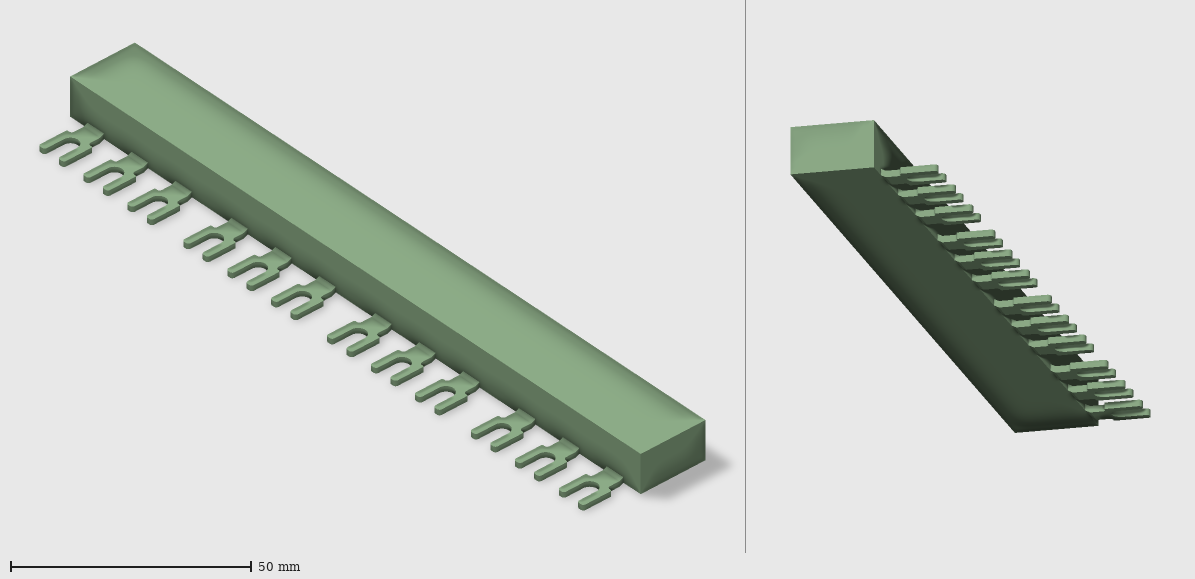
import cadquery as cq

body_length = 178.6
body_depth = 18.0
body_height = 10.4

group_count = 4
forks_per_group = 3
group_pitch = 45.0
fork_pitch = 13.8
fork_reach = 12.5
fork_thickness = 1.5
fork_drop = 0.5
bend_length = 1.0
neck_width = 5.2
neck_length = 4.5
fork_width = 8.0
slot_width = 4.1
slot_top_offset = 5.0
tip_radius = 0.7
neck_fillet = 0.7
shoulder_radius = 0.4

row_length = (group_count - 1) * group_pitch + (forks_per_group - 1) * fork_pitch
first_fork_x = (body_length - row_length) / 2


def make_body():
    return cq.Workplane("XY").box(body_length, body_depth, body_height, centered=False)


def make_sheet():
    """Bent strip profile, as wide as the fork, with its mid-plane at X = 0."""
    return (
        cq.Workplane("YZ")
        .moveTo(0, 0)
        .lineTo(-bend_length, -fork_drop)
        .lineTo(-fork_reach, -fork_drop)
        .lineTo(-fork_reach, fork_thickness - fork_drop)
        .lineTo(-bend_length, fork_thickness - fork_drop)
        .lineTo(0, fork_thickness)
        .close()
        .extrude(fork_width / 2, both=True)
    )


def make_fork():
    """Bent strip trimmed to the neck, tines and open slot."""
    cut_height = 2 * (fork_thickness + fork_drop)
    tine_length = fork_reach - neck_length
    neck = cq.Workplane("XY").box(neck_width, 2 * neck_length, cut_height)
    tines = (
        cq.Workplane("XY")
        .box(fork_width, tine_length, cut_height)
        .translate((0, -neck_length - tine_length / 2, 0))
    )
    slot_radius = slot_width / 2
    slot_center_y = -slot_top_offset - slot_radius
    slot = (
        cq.Workplane("XY")
        .moveTo(-slot_radius, -fork_reach)
        .lineTo(-slot_radius, slot_center_y)
        .threePointArc((0, -slot_top_offset), (slot_radius, slot_center_y))
        .lineTo(slot_radius, -fork_reach)
        .close()
        .extrude(cut_height / 2, both=True)
    )
    tines = (
        tines.cut(slot)
        .faces("<Y").edges("|Z").fillet(tip_radius)
        .edges("|Z and >Y").fillet(shoulder_radius)
    )
    neck_corners = cq.selectors.BoxSelector(
        (-neck_width, -neck_length - shoulder_radius / 2, -cut_height),
        (neck_width, -neck_length + shoulder_radius / 2, cut_height),
    )
    outline = neck.union(tines).edges("|Z").edges(neck_corners).fillet(neck_fillet)
    return make_sheet().intersect(outline)


result = make_body()
fork = make_fork()
for group in range(group_count):
    for position in range(forks_per_group):
        fork_x = first_fork_x + group * group_pitch + position * fork_pitch
        result = result.union(fork.translate((fork_x, 0, 0)))